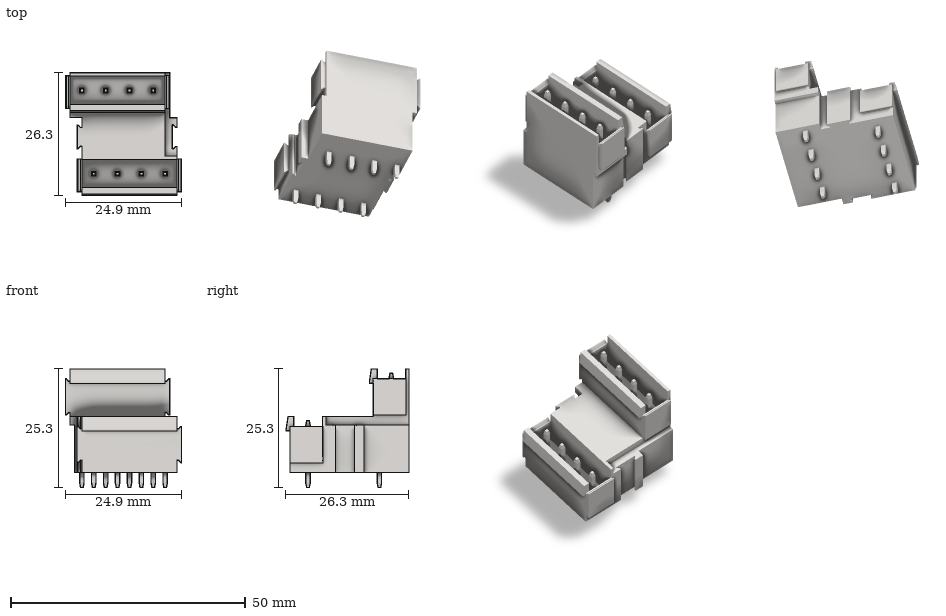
import cadquery as cq


pins_per_row = 4
pin_row_span = 15.25
pitch = pin_row_span / (pins_per_row - 1)
grid = pitch / 2

overall_depth = 26.28
rear_shift_x = -grid
rear_shift_y = 7 * grid
rear_shift_z = 4 * grid

header_width = pins_per_row * pitch
header_height = 12.0
hook_reach = 0.85
header_depth = overall_depth - rear_shift_y - hook_reach
front_wall = 0.87
back_wall = 0.7
floor_height = 3.5
hook_crown_reach = 0.42
hook_height = 3.1
hook_lip = 0.32

dovetail_depth = 1.0
root_land = 0.32
tip_land = 0.2
dovetail_flare = 0.53

plate_depth = 7.02
plate_bottom = 2.1
plate_top = 9.9

centre_back = 15.82
rear_block_inset = dovetail_depth
tongue_front = 9.17
tongue_back = 14.27

pin_size = 1.0
pin_tip_size = 0.6
pin_taper = 1.0
pin_top = 11.1
pin_bottom = -3.18
pin_y = 3.86
rear_pin_jog = grid


def box(x_min, x_max, y_min, y_max, z_min, z_max):
    """Block between two opposite corners."""
    size = (x_max - x_min, y_max - y_min, z_max - z_min)
    return cq.Workplane("XY").box(*size, centered=False).translate((x_min, y_min, z_min))


def dovetail_points(root, low, high, direction):
    """Outline of a dovetail that grows from `root` along `direction` and is widest at its tip."""
    flare_start = root + direction * root_land
    tip = root + direction * dovetail_depth
    flare_end = tip - direction * tip_land
    return [
        (root, low + dovetail_flare),
        (flare_start, low + dovetail_flare),
        (flare_end, low),
        (tip, low),
        (tip, high),
        (flare_end, high),
        (flare_start, high - dovetail_flare),
        (root, high - dovetail_flare),
    ]


def make_header():
    """Trough with a hooked front wall, closed at both ends by flared plates."""
    hook_bottom = header_height - hook_height
    section = [
        (0, 0),
        (header_depth, 0),
        (header_depth, header_height),
        (header_depth - back_wall, header_height),
        (header_depth - back_wall, floor_height),
        (front_wall, floor_height),
        (front_wall, header_height),
        (-hook_crown_reach, header_height),
        (-hook_reach, hook_bottom + hook_lip),
        (-hook_reach, hook_bottom),
        (0, hook_bottom),
    ]
    header = cq.Workplane("YZ").polyline(section).close().extrude(header_width)
    for end_x, direction in ((0, -1), (header_width, 1)):
        outline = dovetail_points(end_x, plate_bottom, plate_top, direction)
        plate = cq.Workplane("XZ").polyline(outline).close().extrude(-plate_depth)
        header = header.union(plate)
    return header


def make_centre_block():
    """Block between the headers, with a tongue on the left and a matching slot on the right."""
    rear_end_x = rear_shift_x + header_width
    block = box(0, header_width, header_depth, centre_back, 0, rear_shift_z)
    deck = box(0, rear_end_x, header_depth, centre_back, 0, header_height)
    tongue_outline = dovetail_points(0, tongue_front, tongue_back, -1)
    tongue = cq.Workplane("XY").polyline(tongue_outline).close().extrude(header_height)
    slot_outline = [(x + header_width, y) for x, y in tongue_outline]
    slot = cq.Workplane("XY").polyline(slot_outline).close().extrude(header_height)
    return block.union(deck).union(tongue).cut(slot)


def make_rear_block():
    """Base under the rear header and the ledge that carries the header forward to the centre."""
    left = rear_shift_x
    back = rear_shift_y + header_depth
    base_left = left + rear_block_inset
    base = box(base_left, base_left + header_width, centre_back, back, 0, rear_shift_z)
    ledge = box(left, left + header_width, centre_back, back, rear_shift_z, header_height)
    return base.union(ledge)


def make_housing():
    front_header = make_header()
    rear_header = front_header.translate((rear_shift_x, rear_shift_y, rear_shift_z))
    return front_header.union(make_centre_block()).union(make_rear_block()).union(rear_header)


def pin_end(y, z, direction):
    """Tapered end of a pin whose tip lies at height z."""
    start = z - direction * pin_taper
    return (
        cq.Workplane("XY", origin=(0, y, start))
        .rect(pin_size, pin_size)
        .workplane(offset=direction * pin_taper)
        .rect(pin_tip_size, pin_tip_size)
        .loft()
    )


def pin_shank(y, z_min, z_max):
    """Square upright length of a pin."""
    half = pin_size / 2
    return box(-half, half, y - half, y + half, z_min, z_max)


def make_front_pin():
    """Straight pin at X = 0."""
    shank = pin_shank(pin_y, pin_bottom + pin_taper, pin_top - pin_taper)
    return shank.union(pin_end(pin_y, pin_top, 1)).union(pin_end(pin_y, pin_bottom, -1))


def make_rear_pin():
    """Pin at X = 0 with a step that brings its tail forward of its contact."""
    contact_y = pin_y + rear_shift_y
    tail_y = contact_y - rear_pin_jog
    top = pin_top + rear_shift_z
    half = pin_size / 2
    jog_bottom = rear_shift_z - half
    jog_top = rear_shift_z + half
    contact = pin_shank(contact_y, jog_bottom, top - pin_taper).union(pin_end(contact_y, top, 1))
    tail = pin_shank(tail_y, pin_bottom + pin_taper, jog_top).union(pin_end(tail_y, pin_bottom, -1))
    jog = box(-half, half, tail_y - half, contact_y + half, jog_bottom, jog_top)
    return contact.union(jog).union(tail)


front_pin = make_front_pin()
rear_pin = make_rear_pin()
pins = []
for index in range(pins_per_row):
    front_x = grid + index * pitch
    pins.append(front_pin.translate((front_x, 0, 0)))
    pins.append(rear_pin.translate((front_x + rear_shift_x, 0, 0)))

housing = make_housing()
for pin in pins:
    housing = housing.cut(pin)

result = cq.Compound.makeCompound([housing.val(), *[pin.val() for pin in pins]])